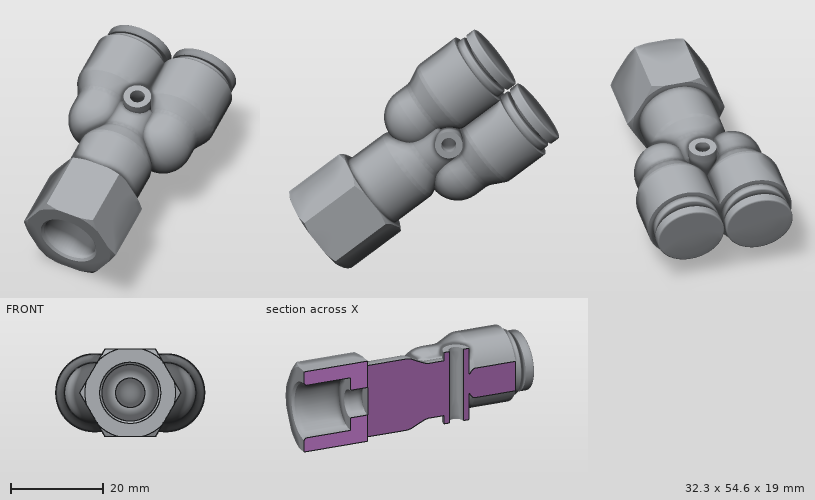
import cadquery as cq
import math

nut_sides = 6
nut_flats = 19.0
nut_length = 15.0
nut_chamfer_diameter = 19.65
nut_chamfer_angle = 30.0
nut_bore_diameter = 12.3
nut_bore_depth = 10.9
bore_chamfer = 0.5
nut_passage_diameter = 6.4

socket_radius = 16.9 / 2
neck_radius = 13.05 / 2
taper_length = 4.05
blend_radius = 2.0
stem_taper_start = 24.9
stem_neck_end = 36.2
stem_end_round = 1.1
branch_dome_center = 32.45
branch_taper_start = 35.9
branch_end = 50.0
width = 32.3
branch_offset = width / 2 - socket_radius
branch_positions = (-branch_offset, branch_offset)

lug_y = 36.0
lug_diameter = 6.0
lug_hole_diameter = 3.2
lug_height = 2 * socket_radius

collar_diameter = 14.7
collar_end = 51.7
edge_round = 0.35

total_length = 54.6
flange_start = 52.5
flange_width = 14.95
flange_height = 13.1
button_neck_diameter = 9.6


def plane_at(y, x=0):
    """Plane across the fitting at position y along its axis, facing +Y."""
    return cq.Workplane(cq.Plane(origin=(x, y, 0), xDir=(1, 0, 0), normal=(0, 1, 0)))


def cylinder(diameter, start, end, x=0):
    return plane_at(start, x).circle(diameter / 2).extrude(end - start)


def revolve_about_y(profile):
    return profile.close().revolve(360, (0, 0, 0), (0, 1, 0))


def blend_taper_edges(body, first_y, second_y):
    """Round the two circular edges at the ends of a taper."""
    margin = 0.05
    reach = 2 * socket_radius
    for y in (first_y, second_y):
        slab = cq.selectors.BoxSelector(
            (-reach, y - margin, -reach),
            (reach, y + margin, reach),
            boundingbox=True,
        )
        body = body.edges(slab).fillet(blend_radius)
    return body


def make_nut():
    corner_diameter = nut_flats / math.cos(math.pi / nut_sides)
    corner_radius = corner_diameter / 2
    face_radius = nut_chamfer_diameter / 2
    chamfer_depth = (corner_radius - face_radius) * math.tan(math.radians(nut_chamfer_angle))
    hexagon = plane_at(0).polygon(nut_sides, corner_diameter).extrude(nut_length)
    chamfered_envelope = revolve_about_y(
        cq.Workplane("XY")
        .moveTo(0, 0)
        .lineTo(face_radius, 0)
        .lineTo(corner_radius, chamfer_depth)
        .lineTo(corner_radius, nut_length - chamfer_depth)
        .lineTo(face_radius, nut_length)
        .lineTo(0, nut_length)
    )
    bore_radius = nut_bore_diameter / 2
    passage_radius = nut_passage_diameter / 2
    bore = revolve_about_y(
        cq.Workplane("XY")
        .moveTo(0, 0)
        .lineTo(bore_radius + bore_chamfer, 0)
        .lineTo(bore_radius, bore_chamfer)
        .lineTo(bore_radius, nut_bore_depth)
        .lineTo(passage_radius, nut_bore_depth)
        .lineTo(passage_radius, nut_length)
        .lineTo(0, nut_length)
    )
    return hexagon.intersect(chamfered_envelope).cut(bore)


def make_stem():
    """Wide barrel that tapers to a neck with a rounded end."""
    taper_end = stem_taper_start + taper_length
    stem = revolve_about_y(
        cq.Workplane("XY")
        .moveTo(0, nut_length)
        .lineTo(socket_radius, nut_length)
        .lineTo(socket_radius, stem_taper_start)
        .lineTo(neck_radius, taper_end)
        .lineTo(neck_radius, stem_neck_end)
        .lineTo(0, stem_neck_end)
    )
    stem = stem.faces(">Y").edges().fillet(stem_end_round)
    return blend_taper_edges(stem, stem_taper_start, taper_end)


def make_branch():
    """Domed neck that widens to the tube socket, centred on the Y axis."""
    taper_end = branch_taper_start + taper_length
    dome_diagonal = neck_radius * math.sqrt(0.5)
    branch = revolve_about_y(
        cq.Workplane("XY")
        .moveTo(0, branch_dome_center - neck_radius)
        .threePointArc((dome_diagonal, branch_dome_center - dome_diagonal), (neck_radius, branch_dome_center))
        .lineTo(neck_radius, branch_taper_start)
        .lineTo(socket_radius, taper_end)
        .lineTo(socket_radius, branch_end)
        .lineTo(0, branch_end)
    )
    return blend_taper_edges(branch, branch_taper_start, taper_end)


def make_housing():
    lug_base = cq.Workplane("XY", origin=(0, lug_y, -lug_height / 2))
    lug = lug_base.circle(lug_diameter / 2).extrude(lug_height)
    lug_hole = lug_base.circle(lug_hole_diameter / 2).extrude(lug_height)
    branch = make_branch()
    housing = make_stem()
    for x in branch_positions:
        housing = housing.union(branch.translate((x, 0, 0)))
    return housing.union(lug).cut(lug_hole)


def make_collar(x):
    return cylinder(collar_diameter, branch_end, collar_end, x).faces(">Y").edges().fillet(edge_round)


def make_button(x):
    flange = (
        plane_at(flange_start, x)
        .ellipse(flange_width / 2, flange_height / 2)
        .extrude(total_length - flange_start)
        .faces(">Y")
        .edges()
        .fillet(edge_round)
    )
    return flange.union(cylinder(button_neck_diameter, collar_end, flange_start, x))


nut = make_nut()
housing = make_housing()
collars = [make_collar(x) for x in branch_positions]
buttons = [make_button(x) for x in branch_positions]

result = cq.Compound.makeCompound(
    [nut.val(), housing.val()]
    + [collar.val() for collar in collars]
    + [button.val() for button in buttons]
)